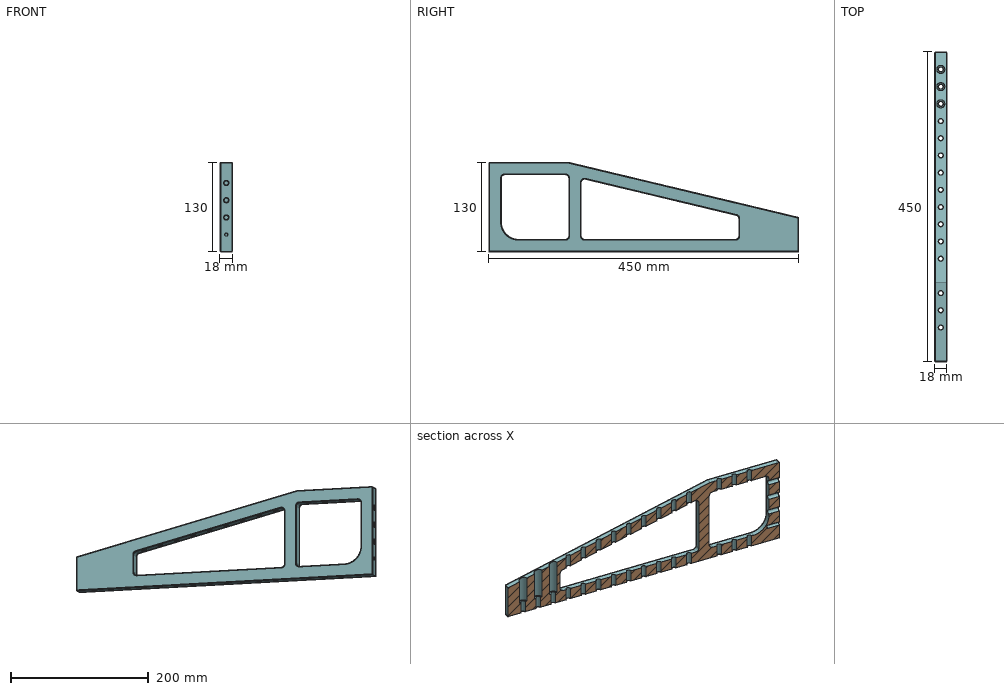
import cadquery as cq
import math

thickness = 18.0
length = 450.0
height = 130.0
rear_height = 50.0
knee_y = 115.0

bar_width = 18.0
front_window_length = 98.0
rear_block_length = 87.0
corner_radius = 5.0
large_corner_radius = 25.0
edge_chamfer = 1.0

screw_hole_diameter = 6.8
counterbore_diameter = 11.5
front_hole_diameter = 6.5
small_front_hole_diameter = 4.5
countersink_diameter = 7.5
blind_hole_depth = 20.0
drill_point_length = 1.5
hole_spacings_in_length = 18
hole_spacing = length / hole_spacings_in_length
first_row_hole_y = 2 * hole_spacing
row_hole_count = 16
counterbored_count = 3
post_hole_index = 3

post_front_y = bar_width + front_window_length
post_rear_y = post_front_y + bar_width
rear_window_end_y = length - rear_block_length
slope = (height - rear_height) / (length - knee_y)
sloped_bar_drop = bar_width * math.sqrt(1 + slope**2)
row_hole_ys = [first_row_hole_y + i * hole_spacing for i in range(row_hole_count)]
counterbored_ys = row_hole_ys[-counterbored_count:]
front_hole_zs = [4 * hole_spacing, 3 * hole_spacing, 2 * hole_spacing]
small_front_hole_z = hole_spacing
front_hole_depth = bar_width + front_window_length / 2
countersink_cone_length = countersink_diameter / 2


def sloped_window_top(y):
    """Height of the underside of the sloping top bar at distance y from the front."""
    return height - slope * (y - knee_y) - sloped_bar_drop


def plate(points):
    """Full-thickness block with the given (y, z) outline, centred on X = 0."""
    return cq.Workplane("YZ").polyline(points).close().extrude(thickness / 2, both=True)


def vertical_cylinder(diameter, y, bottom_z):
    """Cylinder rising from bottom_z to beyond the top of the plate."""
    return cq.Workplane("XY", origin=(0, y, bottom_z)).circle(diameter / 2).extrude(height)


def front_cylinder(diameter, z, depth):
    """Cylinder going in from the front end."""
    return cq.Workplane("XZ", origin=(0, 0, z)).circle(diameter / 2).extrude(-depth)


def front_cone(diameter, z, start_y, cone_length):
    """Cone narrowing to a point, its base facing the front."""
    cone = cq.Solid.makeCone(diameter / 2, 0, cone_length, cq.Vector(0, start_y, z), cq.Vector(0, 1, 0))
    return cq.Workplane(obj=cone)


outline = plate(
    [(0, 0), (length, 0), (length, rear_height), (knee_y, height), (0, height)]
)

outline = outline.edges("|X and <Y and >Z").chamfer(edge_chamfer)

front_window = plate(
    [
        (bar_width, bar_width),
        (post_front_y, bar_width),
        (post_front_y, height - bar_width),
        (bar_width, height - bar_width),
    ]
)
front_window = front_window.edges("|X and (>Y or >Z)").fillet(corner_radius)
front_window = front_window.edges("|X and <Y and <Z").fillet(large_corner_radius)

rear_window = plate(
    [
        (post_rear_y, bar_width),
        (rear_window_end_y, bar_width),
        (rear_window_end_y, sloped_window_top(rear_window_end_y)),
        (post_rear_y, sloped_window_top(post_rear_y)),
    ]
).edges("|X").fillet(corner_radius)

body = outline.cut(front_window).cut(rear_window)

body = body.faces("<X or >X").edges().chamfer(edge_chamfer)

for i, y in enumerate(row_hole_ys):
    if i != post_hole_index:
        body = body.cut(vertical_cylinder(screw_hole_diameter, y, 0))

for y in counterbored_ys:
    body = body.cut(vertical_cylinder(counterbore_diameter, y, bar_width))

for z in front_hole_zs:
    body = body.cut(front_cylinder(front_hole_diameter, z, front_hole_depth))
    body = body.cut(front_cone(countersink_diameter, z, 0, countersink_cone_length))

body = body.cut(front_cylinder(small_front_hole_diameter, small_front_hole_z, blind_hole_depth))
body = body.cut(
    front_cone(small_front_hole_diameter, small_front_hole_z, blind_hole_depth, drill_point_length)
)

result = body